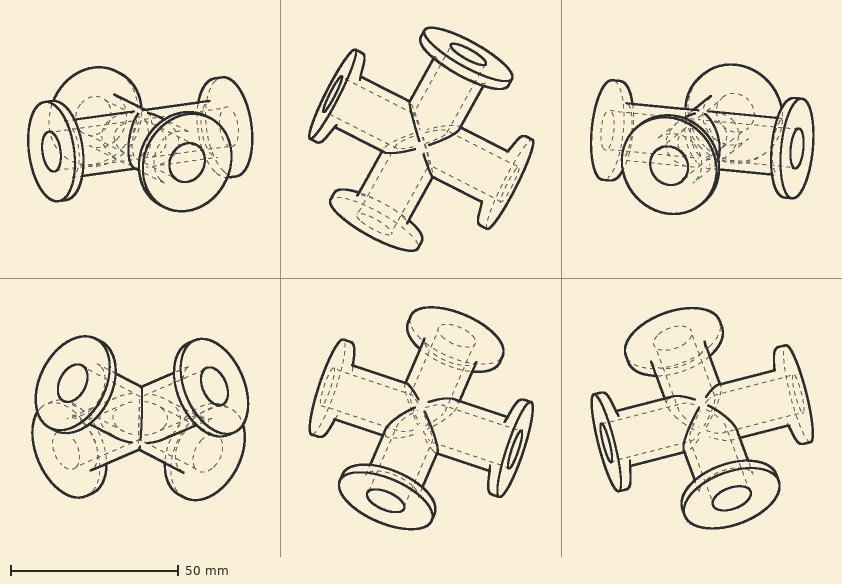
import cadquery as cq
import math

span = 60.0
flange_diameter = 30.0
tube_diameter = 17.05

bore_diameter = 11.5
mouth_diameter = 12.0
mouth_depth = 2.0

rim_thickness = 3.05
taper_angle = 15.0
rim_fillet = 1.0
neck_fillet = 0.6

reach = span / 2
flange_radius = flange_diameter / 2
tube_radius = tube_diameter / 2
bore_radius = bore_diameter / 2
mouth_radius = mouth_diameter / 2
taper_length = (flange_radius - tube_radius) * math.tan(math.radians(taper_angle))
rim_back = reach - rim_thickness
neck = rim_back - taper_length

quarter_turns = (90, 180, 270)


def revolve_about_x(points):
    """Solid of revolution about X from (axial position, radius) points."""
    return cq.Workplane("XY").polyline(points).close().revolve(360, (0, 0, 0), (1, 0, 0))


def round_edge_at(solid, position, radius):
    """Fillet the circular edge centred on the X axis at the given position."""
    nearest = cq.selectors.NearestToPointSelector((position, 0, 0))
    return solid.edges("%CIRCLE").edges(nearest).fillet(radius)


def make_arm():
    """Solid tube from the centre along +X, ending in a flange with a tapered back."""
    arm = revolve_about_x([
        (0, 0),
        (0, tube_radius),
        (neck, tube_radius),
        (rim_back, flange_radius),
        (reach, flange_radius),
        (reach, 0),
    ])
    arm = round_edge_at(arm, rim_back, rim_fillet)
    return round_edge_at(arm, neck, neck_fillet)


def make_bore():
    """Bore from the centre along +X, widening conically at the flange face."""
    return revolve_about_x([
        (0, 0),
        (0, bore_radius),
        (reach - mouth_depth, bore_radius),
        (reach, mouth_radius),
        (reach, 0),
    ])


def make_cross(branch):
    """Four copies of a branch at right angles about Z, joined together."""
    cross = branch
    for turn in quarter_turns:
        cross = cross.union(branch.rotate((0, 0, 0), (0, 0, 1), turn))
    return cross


result = make_cross(make_arm()).cut(make_cross(make_bore()))